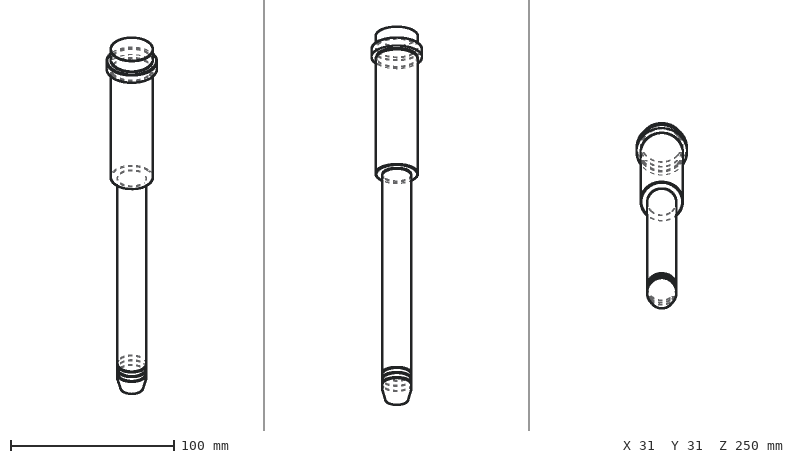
import cadquery as cq

TOTAL_LENGTH = 250.0

BODY_DIAMETER = 26.0
BODY_LENGTH = 95.0
BODY_END_CHAMFER = 0.5

HEAD_LENGTH = 8.0
HEAD_TOP_CHAMFER = 0.25

SEAT_DIAMETER = 25.0
SEAT_LENGTH = 7.2
SEAT_EDGE_CHAMFER_HEIGHT = 0.7
SEAT_EDGE_CHAMFER_WIDTH = 0.45

COLLAR_DIAMETER = 31.0
COLLAR_HEIGHT = 5.9
COLLAR_TOP_CHAMFER = 0.5
COLLAR_GAP = 0.6

SHAFT_DIAMETER = 18.0
RELIEF_WIDTH = 0.75
RELIEF_DEPTH = 0.2

TIP_LENGTH = 7.5
TIP_DIAMETER = 14.0
TIP_FILLET = 0.5

GROOVE_COUNT = 3
GROOVE_PITCH = 3.5
GROOVE_WIDTH = 0.8
GROOVE_DEPTH = 0.3
FIRST_GROOVE_HEIGHT = 10.8

BODY_BOTTOM = TOTAL_LENGTH - BODY_LENGTH
HEAD_BOTTOM = TOTAL_LENGTH - HEAD_LENGTH
SEAT_BOTTOM = HEAD_BOTTOM - SEAT_LENGTH
COLLAR_BOTTOM = HEAD_BOTTOM - COLLAR_GAP - COLLAR_HEIGHT


def cylinder(diameter, bottom, height):
    return cq.Workplane("XY").workplane(offset=bottom).circle(diameter / 2).extrude(height)


def cone(bottom_diameter, top_diameter, bottom, height):
    return (
        cq.Workplane("XY")
        .workplane(offset=bottom)
        .circle(bottom_diameter / 2)
        .workplane(offset=height)
        .circle(top_diameter / 2)
        .loft()
    )


def groove_cutter(height):
    """V-shaped ring centred on the shaft surface."""
    surface = SHAFT_DIAMETER / 2
    profile = [
        (surface, height - GROOVE_WIDTH / 2),
        (surface, height + GROOVE_WIDTH / 2),
        (surface - GROOVE_DEPTH, height),
    ]
    return cq.Workplane("XZ").polyline(profile).close().revolve(360, (0, 0), (0, 1))


def make_tip():
    tip = cone(TIP_DIAMETER, SHAFT_DIAMETER, 0, TIP_LENGTH)
    return tip.faces("<Z").edges().fillet(TIP_FILLET)


def make_shaft():
    relief_bottom = BODY_BOTTOM - RELIEF_WIDTH
    shaft = cylinder(SHAFT_DIAMETER, TIP_LENGTH, relief_bottom - TIP_LENGTH)
    shaft = shaft.union(cylinder(SHAFT_DIAMETER - 2 * RELIEF_DEPTH, relief_bottom, RELIEF_WIDTH))
    for index in range(GROOVE_COUNT):
        groove_height = FIRST_GROOVE_HEIGHT + index * GROOVE_PITCH
        shaft = shaft.cut(groove_cutter(groove_height))
    return shaft


def make_body():
    body = cylinder(BODY_DIAMETER, BODY_BOTTOM, SEAT_BOTTOM - BODY_BOTTOM)
    body = body.faces("<Z").chamfer(BODY_END_CHAMFER)
    return body.faces(">Z").chamfer(SEAT_EDGE_CHAMFER_HEIGHT, SEAT_EDGE_CHAMFER_WIDTH)


def make_seat():
    return cylinder(SEAT_DIAMETER, SEAT_BOTTOM, SEAT_LENGTH)


def make_collar():
    collar = cylinder(COLLAR_DIAMETER, COLLAR_BOTTOM, COLLAR_HEIGHT)
    return collar.faces(">Z").chamfer(COLLAR_TOP_CHAMFER)


def make_head():
    head = cylinder(BODY_DIAMETER, HEAD_BOTTOM, HEAD_LENGTH)
    return head.faces(">Z").chamfer(HEAD_TOP_CHAMFER)


result = make_shaft()
for section in (make_tip(), make_body(), make_seat(), make_collar(), make_head()):
    result = result.union(section)